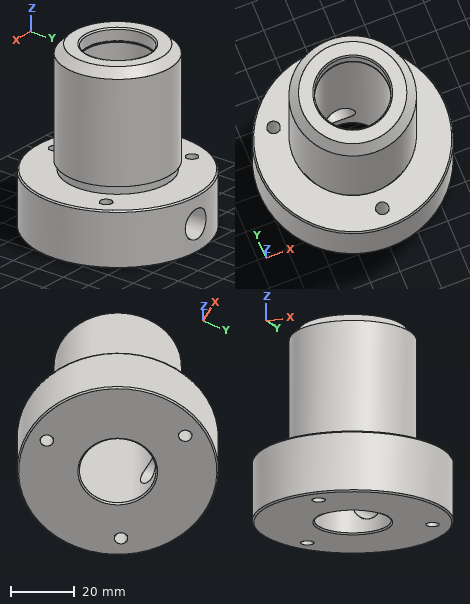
import cadquery as cq

height = 63.0
flange_radius = 31.5
flange_height = 20.0
flange_chamfer = 0.5

sleeve_radius = 20.0
sleeve_chamfer = 3.0
neck_radius = 19.0
neck_height = 3.0

bore_radius = 12.0
bore_chamfer = 0.5
groove_top_depth = 4.5
groove_width = 0.5
groove_radial_depth = 0.5

hole_count = 3
hole_radius = 2.1
hole_circle_radius = 25.0
first_hole_angle = 30.0

port_radius = 5.2
port_z = flange_height / 2


def make_body():
    flange = cq.Workplane("XY").circle(flange_radius).extrude(flange_height)
    flange = flange.edges().chamfer(flange_chamfer)
    neck = cq.Workplane("XY").workplane(offset=flange_height).circle(neck_radius).extrude(neck_height)
    sleeve_base = flange_height + neck_height
    sleeve = (
        cq.Workplane("XY")
        .workplane(offset=sleeve_base)
        .circle(sleeve_radius)
        .extrude(height - sleeve_base)
        .faces(">Z")
        .edges()
        .chamfer(sleeve_chamfer)
    )
    return flange.union(neck).union(sleeve)


def make_bore():
    groove_top = height - groove_top_depth
    groove_bottom = groove_top - groove_width
    groove_radius = bore_radius + groove_radial_depth
    mouth_radius = bore_radius + bore_chamfer
    profile = [
        (0, 0),
        (mouth_radius, 0),
        (bore_radius, bore_chamfer),
        (bore_radius, groove_bottom),
        (groove_radius, groove_bottom),
        (groove_radius, groove_top),
        (bore_radius, groove_top),
        (bore_radius, height - bore_chamfer),
        (mouth_radius, height),
        (0, height),
    ]
    return cq.Workplane("XZ").polyline(profile).close().revolve(360, (0, 0, 0), (0, 1, 0))


def make_mounting_holes():
    return (
        cq.Workplane("XY")
        .polarArray(hole_circle_radius, first_hole_angle, 360, hole_count)
        .circle(hole_radius)
        .extrude(flange_height)
    )


def make_radial_port():
    return cq.Workplane("XZ").center(0, port_z).circle(port_radius).extrude(-flange_radius)


result = make_body().cut(make_bore()).cut(make_mounting_holes()).cut(make_radial_port())